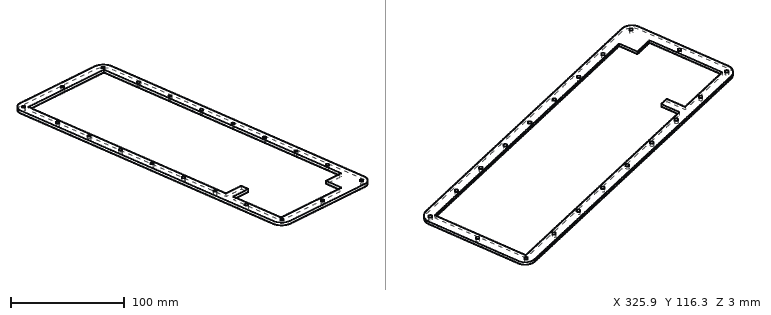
import cadquery as cq

length = 325.85
width = 116.3
thickness = 3.0
corner_radius = 10.5

end_border = 10.3
side_border = 9.65
window_length = length - 2 * end_border
window_width = width - 2 * side_border

pad_length = 18.8
pad_width = 19.5

tab_width = 8.8
tab_height = 19.5
tab_center_x = 90.5

hole_diameter = 3.3
row_hole_count = 7
row_pitch = 38.0
row_offset_y = 52.0
corner_hole_x = 156.0
corner_hole_y = 51.0
end_hole_x = 157.0


def make_frame():
    """Rounded plate with a sharp-cornered rectangular window."""
    plate = cq.Workplane("XY").rect(length, width).extrude(thickness)
    plate = plate.edges("|Z").fillet(corner_radius)
    window = cq.Workplane("XY").rect(window_length, window_width).extrude(thickness)
    return plate.cut(window)


def make_block(x_min, x_max, y_min, y_max):
    """Full-thickness block between two opposite corners."""
    block = cq.Workplane("XY").box(x_max - x_min, y_max - y_min, thickness, centered=False)
    return block.translate((x_min, y_min, 0))


def make_corner_pad():
    """Pad flush against the +X and +Y walls of the window."""
    x_edge = window_length / 2
    y_edge = window_width / 2
    return make_block(x_edge - pad_length, x_edge, y_edge - pad_width, y_edge)


def make_tab():
    """Tab standing on the -Y wall of the window."""
    x_min = tab_center_x - tab_width / 2
    y_edge = -window_width / 2
    return make_block(x_min, x_min + tab_width, y_edge, y_edge + tab_height)


def hole_points():
    """Centres of the row, corner and end holes."""
    points = [(-end_hole_x, 0), (end_hole_x, 0)]
    first_x = -row_pitch * (row_hole_count - 1) / 2
    for side in (-1, 1):
        for index in range(row_hole_count):
            points.append((first_x + index * row_pitch, side * row_offset_y))
        for end in (-1, 1):
            points.append((end * corner_hole_x, side * corner_hole_y))
    return points


def make_holes():
    """Through-hole cutters for every screw."""
    return cq.Workplane("XY").pushPoints(hole_points()).circle(hole_diameter / 2).extrude(thickness)


result = make_frame().union(make_corner_pad()).union(make_tab()).cut(make_holes())